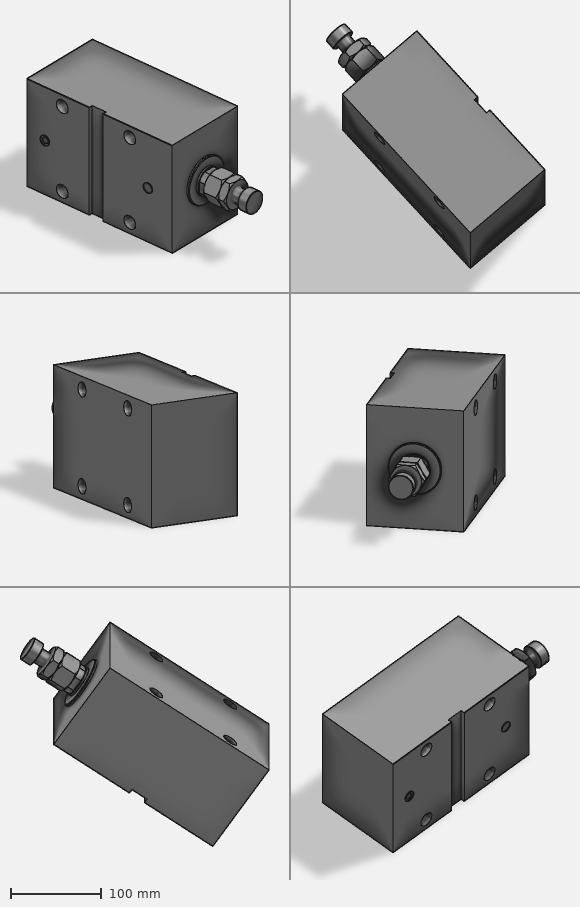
import cadquery as cq
import math

BLOCK_LENGTH = 213.0
BLOCK_DEPTH = 110.0
BLOCK_HEIGHT = 140.0
FRONT_Y = -BLOCK_DEPTH / 2
FRONT_EDGE_CHAMFER = 0.5

MOUNT_HOLE_DIAMETER = 17.0
MOUNT_FIRST_X = 52.0
MOUNT_PITCH_X = 99.0
MOUNT_PITCH_Z = 110.0
MOUNT_CENTER_X = MOUNT_FIRST_X + MOUNT_PITCH_X / 2

SLOT_WIDTH = 20.0
SLOT_DEPTH = 5.0

PORT_X = 26.0
PLAIN_RECESS_X = 177.0
PORT_RECESS_DIAMETER = 13.0
PORT_RECESS_DEPTH = 1.1
PORT_STEP_DIAMETER = 8.0
PORT_STEP_DEPTH = 1.7

BOSS_RADIUS = 30.0
BOSS_LENGTH = 3.0
BOSS_CHAMFER = 1.0

ROD_RADIUS = 18.0
ROD_SHOULDER = 6.0
ROD_CHAMFER = 0.5
ROD_NECK_RADIUS = ROD_RADIUS - ROD_CHAMFER
ROD_FLATS_WIDTH = 32.0
ROD_END = 14.0
ROD_DEPTH_IN_BLOCK = 40.0

HEX_WIDTH = 36.0
HEX_CORNER_RADIUS = HEX_WIDTH / 2 / math.cos(math.pi / 6)
HEX_CHAMFER_LENGTH = 2.3
NUT_HEIGHT = 22.0
PIN_HEX_HEIGHT = 11.5
HEX_FACE_RADIUS = 17.8

STUD_RADIUS = 12.0
STUD_DEPTH_IN_ROD = 20.0
PIN_NECK_RADIUS = 9.0
PIN_NECK_FILLET = 1.5
PIN_HEAD_RADIUS = 14.0
PIN_HEAD_LENGTH = 12.5
PIN_HEAD_CHAMFER = 0.5
PIN_END = 73.0


def rod_x_cylinder(start, end, radius):
    """Cylinder on the rod axis between two distances from the block's end face."""
    plane = cq.Workplane("YZ", origin=(BLOCK_LENGTH + start, 0, 0))
    return plane.circle(radius).extrude(end - start)


def front_hole(x, z, diameter, depth):
    """Cutter for a round hole going into the front face along +Y."""
    plane = cq.Workplane("XZ", origin=(x, FRONT_Y, z))
    return plane.circle(diameter / 2).extrude(-depth)


def chamfered_hexagon(start, height):
    """Hexagon on the rod axis, corners along Y, trimmed by cones at both ends."""
    plane = cq.Workplane("YZ", origin=(BLOCK_LENGTH + start, 0, 0))
    hexagon = plane.polygon(6, 2 * HEX_CORNER_RADIUS).extrude(height)
    left = BLOCK_LENGTH + start
    right = left + height
    envelope = (
        cq.Workplane("XY")
        .moveTo(left, 0)
        .lineTo(left, HEX_FACE_RADIUS)
        .lineTo(left + HEX_CHAMFER_LENGTH, HEX_CORNER_RADIUS)
        .lineTo(right - HEX_CHAMFER_LENGTH, HEX_CORNER_RADIUS)
        .lineTo(right, HEX_FACE_RADIUS)
        .lineTo(right, 0)
        .close()
        .revolve(360, (0, 0, 0), (1, 0, 0))
    )
    return hexagon.intersect(envelope)


def make_housing():
    """Block with rod boss, slot, mounting holes, ports and the rod bore."""
    body = cq.Workplane("XY").box(BLOCK_LENGTH, BLOCK_DEPTH, BLOCK_HEIGHT, centered=(False, True, True))
    body = body.faces("<Y").edges("|X").chamfer(FRONT_EDGE_CHAMFER)
    slot = cq.Workplane("XY").box(SLOT_WIDTH, SLOT_DEPTH, BLOCK_HEIGHT)
    body = body.cut(slot.translate((MOUNT_CENTER_X, FRONT_Y + SLOT_DEPTH / 2, 0)))

    for side_x in (-1, 1):
        for side_z in (-1, 1):
            x = MOUNT_CENTER_X + side_x * MOUNT_PITCH_X / 2
            z = side_z * MOUNT_PITCH_Z / 2
            body = body.cut(front_hole(x, z, MOUNT_HOLE_DIAMETER, BLOCK_DEPTH))

    for x in (PORT_X, PLAIN_RECESS_X):
        body = body.cut(front_hole(x, 0, PORT_RECESS_DIAMETER, PORT_RECESS_DEPTH))
    body = body.cut(front_hole(PORT_X, 0, PORT_STEP_DIAMETER, PORT_STEP_DEPTH))

    boss = rod_x_cylinder(0, BOSS_LENGTH, BOSS_RADIUS).faces(">X").chamfer(BOSS_CHAMFER)
    return body.union(boss).cut(rod_x_cylinder(-ROD_DEPTH_IN_BLOCK, BOSS_LENGTH, ROD_RADIUS))


def make_piston_rod():
    """Round rod with four wrench flats at its end and a socket for the pin's stud."""
    shaft = rod_x_cylinder(-ROD_DEPTH_IN_BLOCK, ROD_SHOULDER, ROD_RADIUS).faces(">X").chamfer(ROD_CHAMFER)
    neck = rod_x_cylinder(ROD_SHOULDER, ROD_END, ROD_NECK_RADIUS)
    flats = (
        cq.Workplane("YZ", origin=(BLOCK_LENGTH + ROD_SHOULDER, 0, 0))
        .rect(ROD_FLATS_WIDTH, ROD_FLATS_WIDTH)
        .extrude(ROD_END - ROD_SHOULDER)
    )
    socket = rod_x_cylinder(ROD_END - STUD_DEPTH_IN_ROD, ROD_END, STUD_RADIUS)
    return shaft.union(neck.intersect(flats)).cut(socket)


def make_lock_nut():
    """Hexagon nut between the rod end and the pin's hexagon."""
    return chamfered_hexagon(ROD_END, NUT_HEIGHT).cut(
        rod_x_cylinder(ROD_END, ROD_END + NUT_HEIGHT, STUD_RADIUS)
    )


def make_coupling_pin():
    """Stud, hexagon, filleted neck and round head on one axis."""
    hex_start = ROD_END + NUT_HEIGHT
    hex_end = hex_start + PIN_HEX_HEIGHT
    head_start = PIN_END - PIN_HEAD_LENGTH
    neck_left = BLOCK_LENGTH + hex_end
    neck_right = BLOCK_LENGTH + head_start
    fillet_top = PIN_NECK_RADIUS + PIN_NECK_FILLET

    stud = rod_x_cylinder(ROD_END - STUD_DEPTH_IN_ROD, hex_start, STUD_RADIUS)
    hexagon = chamfered_hexagon(hex_start, PIN_HEX_HEIGHT)
    neck = (
        cq.Workplane("XY")
        .moveTo(neck_left, 0)
        .lineTo(neck_left, fillet_top)
        .radiusArc((neck_left + PIN_NECK_FILLET, PIN_NECK_RADIUS), -PIN_NECK_FILLET)
        .lineTo(neck_right - PIN_NECK_FILLET, PIN_NECK_RADIUS)
        .radiusArc((neck_right, fillet_top), -PIN_NECK_FILLET)
        .lineTo(neck_right, 0)
        .close()
        .revolve(360, (0, 0, 0), (1, 0, 0))
    )
    head = rod_x_cylinder(head_start, PIN_END, PIN_HEAD_RADIUS).faces("<X or >X").chamfer(PIN_HEAD_CHAMFER)
    return stud.union(hexagon).union(neck).union(head)


housing = make_housing()
piston_rod = make_piston_rod()
lock_nut = make_lock_nut()
coupling_pin = make_coupling_pin()

result = cq.Compound.makeCompound(
    [housing.val(), piston_rod.val(), lock_nut.val(), coupling_pin.val()]
)